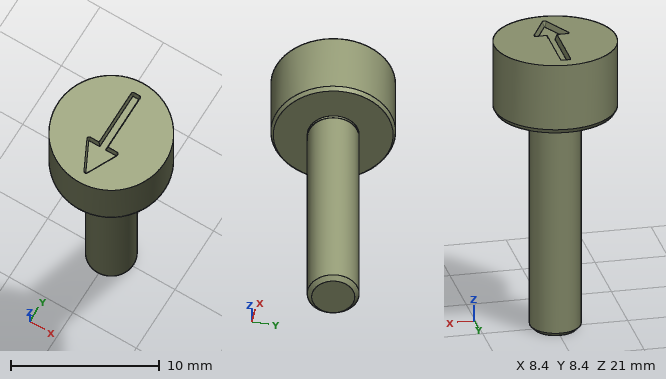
import cadquery as cq
import math

total_length = 21.0
head_diameter = 8.4
head_height = 5.0
shank_diameter = 3.5

head_chamfer_height = 0.3
head_chamfer_width = 0.17
tip_chamfer = 0.3

groove_width = 0.18
groove_depth = 0.06

arrow_tail_y = 3.3
arrow_shoulder_y = -1.0
arrow_point_y = -3.59
arrow_stem_width = 0.7
arrow_head_width = 2.57
arrow_depth = 0.4
arrow_wall_lean = 0.12
arrow_corner_radius = 0.15

shank_length = total_length - head_height
head_radius = head_diameter / 2
shank_radius = shank_diameter / 2


def make_pin():
    """Revolve the half profile of head and shank about Z, with a round groove under the head."""
    groove_floor_radius = shank_radius - groove_depth
    return (
        cq.Workplane("XZ")
        .moveTo(0, head_height)
        .lineTo(head_radius, head_height)
        .lineTo(head_radius, head_chamfer_height)
        .lineTo(head_radius - head_chamfer_width, 0)
        .lineTo(shank_radius, 0)
        .threePointArc((groove_floor_radius, -groove_width / 2), (shank_radius, -groove_width))
        .lineTo(shank_radius, tip_chamfer - shank_length)
        .lineTo(shank_radius - tip_chamfer, -shank_length)
        .lineTo(0, -shank_length)
        .close()
        .revolve(360, (0, 0, 0), (0, 1, 0))
    )


def make_tapered_recess(corners):
    """Cutter below the head face from a convex outline with rounded corners."""
    taper_angle = math.degrees(math.atan2(arrow_wall_lean, arrow_depth))
    return (
        cq.Workplane("XY")
        .workplane(offset=head_height)
        .polyline(corners)
        .close()
        .offset2D(-arrow_corner_radius)
        .offset2D(arrow_corner_radius)
        .extrude(-arrow_depth, taper=taper_angle)
    )


def make_arrow_cutter():
    """Straight stem joined to a triangular arrowhead."""
    half_stem = arrow_stem_width / 2
    half_head = arrow_head_width / 2
    stem_end_y = (arrow_shoulder_y + arrow_point_y) / 2
    stem = make_tapered_recess(
        [
            (-half_stem, arrow_tail_y),
            (half_stem, arrow_tail_y),
            (half_stem, stem_end_y),
            (-half_stem, stem_end_y),
        ]
    )
    arrowhead = make_tapered_recess(
        [
            (-half_head, arrow_shoulder_y),
            (half_head, arrow_shoulder_y),
            (0, arrow_point_y),
        ]
    )
    return stem.union(arrowhead)


result = make_pin().cut(make_arrow_cutter())